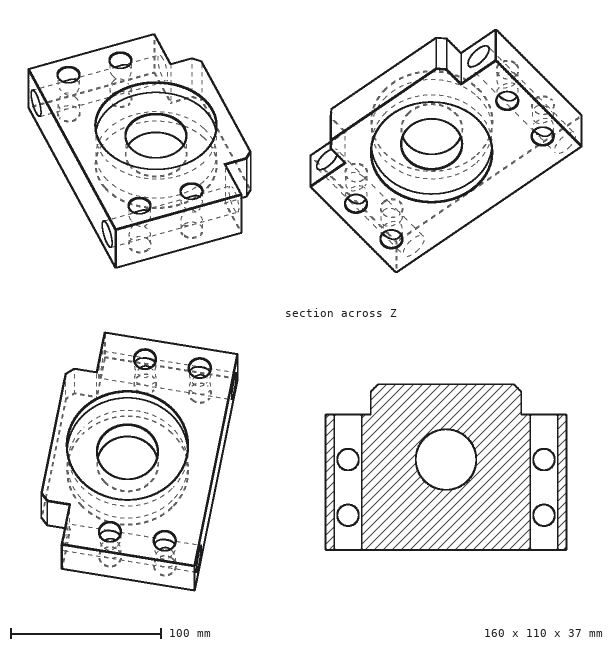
import cadquery as cq

LENGTH = 160.0
THICKNESS = 37.0
BORE_Y = 60.0
TONGUE_WIDTH = 100.0
TONGUE_HEIGHT = 20.0
TONGUE_CORNER = 5.0
EDGE_BREAK = 0.5

BORE_DIAMETER = 40.0
SEAT_DIAMETER = 80.0
SEAT_DEPTH = 9.5
BOLT_DIAMETER = 14.0
BOLT_PITCH_Y = 37.0
SIDE_HOLE_DIAMETER = 18.0

DEPTH = BORE_Y + TONGUE_WIDTH / 2
SHOULDER_DEPTH = DEPTH - TONGUE_HEIGHT

HOLE_X = (LENGTH + TONGUE_WIDTH) / 4


def block():
    """Body with a bevelled tongue, edges broken around both faces and at the four end corners."""
    half_length = LENGTH / 2
    half_tongue = TONGUE_WIDTH / 2
    right_side = [
        (half_length, 0),
        (half_length, SHOULDER_DEPTH),
        (half_tongue, SHOULDER_DEPTH),
        (half_tongue, DEPTH - TONGUE_CORNER),
        (half_tongue - TONGUE_CORNER, DEPTH),
    ]
    left_side = [(-x, y) for x, y in reversed(right_side)]
    body = cq.Workplane("XY").polyline(right_side + left_side).close().extrude(THICKNESS)
    body = body.edges("|Z and (<X or >X)").chamfer(EDGE_BREAK)
    return body.faces("<Z or >Z").chamfer(EDGE_BREAK)


def vertical_hole(x, y, diameter, bottom, top):
    """Cutter along Z between two heights, flared at both rims."""
    radius = diameter / 2
    rim_radius = radius + EDGE_BREAK
    profile = [
        (0, bottom),
        (rim_radius, bottom),
        (radius, bottom + EDGE_BREAK),
        (radius, top - EDGE_BREAK),
        (rim_radius, top),
        (0, top),
    ]
    cutter = cq.Workplane("XZ").polyline(profile).close().revolve(360, (0, 0), (0, 1))
    return cutter.translate((x, y, 0))


def bearing_seat():
    """Counterbore in the top face with a chamfered rim."""
    radius = SEAT_DIAMETER / 2
    seat_floor = THICKNESS - SEAT_DEPTH
    profile = [
        (0, seat_floor),
        (radius, seat_floor),
        (radius, THICKNESS - EDGE_BREAK),
        (radius + EDGE_BREAK, THICKNESS),
        (0, THICKNESS),
    ]
    cutter = cq.Workplane("XZ").polyline(profile).close().revolve(360, (0, 0), (0, 1))
    return cutter.translate((0, BORE_Y, 0))


def side_hole(x):
    """Plain hole along Y at mid thickness, from the front face to the shoulder."""
    cutter = cq.Workplane("XZ").circle(SIDE_HOLE_DIAMETER / 2).extrude(-SHOULDER_DEPTH)
    return cutter.translate((x, 0, THICKNESS / 2))


top_seat = bearing_seat()
bottom_seat = top_seat.mirror("XY", (0, 0, THICKNESS / 2))
bore = vertical_hole(0, BORE_Y, BORE_DIAMETER, SEAT_DEPTH, THICKNESS - SEAT_DEPTH)
result = block().cut(top_seat).cut(bottom_seat).cut(bore)

for hole_x in (-HOLE_X, HOLE_X):
    for bolt_y in (BORE_Y, BORE_Y - BOLT_PITCH_Y):
        result = result.cut(vertical_hole(hole_x, bolt_y, BOLT_DIAMETER, 0, THICKNESS))
    result = result.cut(side_hole(hole_x))